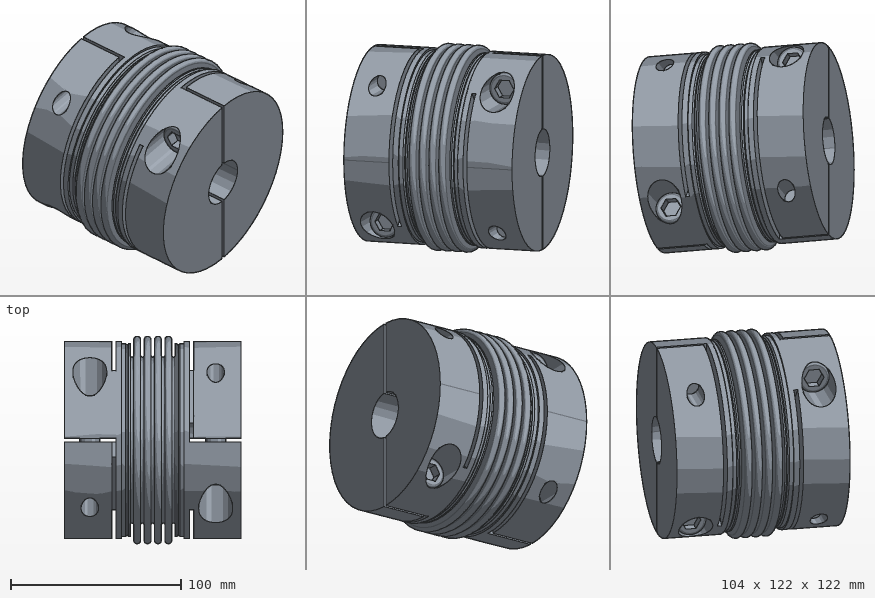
import cadquery as cq
import math


hub_end_x = 52.0
hub_inner_x = 18.3
hub_radius = 58.0
bore_radius = 14.0

collar_radius = 56.7
weld_groove_x = 15.0
weld_groove_depth = 0.9

crest_count = 4
crest_pitch = 6.1
crest_radius = 61.0
root_radius = 48.8
crest_round = 2.1
root_round = crest_pitch / 2 - crest_round
bellows_end_x = crest_count * crest_pitch / 2 + root_round

split_width = 2.0
relief_inner_x = 21.7
relief_width = 2.3
relief_outer_x = relief_inner_x + relief_width
relief_sweep = 135

screw_x = 37.0
screw_z = 41.8
counterbore_diameter = 20.0
head_diameter = 18.5
head_rounding = 1.2
head_top_y = 26.4
head_height = 12.0
head_seat_y = head_top_y - head_height
socket_across_flats = 10.4
socket_depth = 6.1
shank_diameter = 12.0
thread_hole_diameter = 10.2
shank_end_y = 24.4


def make_body():
    """Revolved outline of both hubs, collars and bellows."""
    groove_bottom = collar_radius - weld_groove_depth
    crest_shoulder = crest_radius - crest_round
    root_shoulder = root_radius + root_round
    outline = (
        cq.Workplane("XY")
        .moveTo(-hub_end_x, 0)
        .lineTo(-hub_end_x, hub_radius)
        .lineTo(-hub_inner_x, hub_radius)
        .lineTo(-hub_inner_x, collar_radius)
        .lineTo(-weld_groove_x - weld_groove_depth, collar_radius)
        .lineTo(-weld_groove_x, groove_bottom)
        .lineTo(-weld_groove_x + weld_groove_depth, collar_radius)
        .lineTo(-bellows_end_x, collar_radius)
        .lineTo(-bellows_end_x, root_shoulder)
    )
    for i in range(crest_count):
        crest_x = (i - (crest_count - 1) / 2) * crest_pitch
        root_x = crest_x - crest_pitch / 2
        outline = (
            outline
            .threePointArc((root_x, root_radius), (root_x + root_round, root_shoulder))
            .lineTo(crest_x - crest_round, crest_shoulder)
            .threePointArc((crest_x, crest_radius), (crest_x + crest_round, crest_shoulder))
            .lineTo(crest_x + crest_round, root_shoulder)
        )
    last_root_x = crest_count * crest_pitch / 2
    outline = (
        outline
        .threePointArc((last_root_x, root_radius), (bellows_end_x, root_shoulder))
        .lineTo(bellows_end_x, collar_radius)
        .lineTo(weld_groove_x - weld_groove_depth, collar_radius)
        .lineTo(weld_groove_x, groove_bottom)
        .lineTo(weld_groove_x + weld_groove_depth, collar_radius)
        .lineTo(hub_inner_x, collar_radius)
        .lineTo(hub_inner_x, hub_radius)
        .lineTo(hub_end_x, hub_radius)
        .lineTo(hub_end_x, 0)
        .close()
    )
    return outline.revolve(360, (0, 0, 0), (1, 0, 0))


def half_turn_about_x(shape):
    return shape.rotate((0, 0, 0), (1, 0, 0), 180)


def half_turn_about_z(shape):
    return shape.rotate((0, 0, 0), (0, 0, 1), 180)


def cylinder_along_y(diameter, start_y, end_y):
    """Cylinder on the axis of the -Y screw, between two Y positions."""
    return (
        cq.Workplane("XZ", origin=(-screw_x, start_y, -screw_z))
        .circle(diameter / 2)
        .extrude(start_y - end_y)
    )


def make_split():
    """Slit through the -X hub, from its outer face to the relief slots."""
    length = hub_end_x - relief_inner_x
    return (
        cq.Workplane("XY")
        .box(length, split_width, 2 * crest_radius, centered=(False, True, True))
        .translate((-hub_end_x, 0, 0))
    )


def make_relief_slot():
    """Sector slot freeing the -Y clamp arm, from +Z round past -Y."""
    reach = 2 * crest_radius
    end_angle = math.radians(90 + relief_sweep)
    return (
        cq.Workplane("YZ", origin=(-relief_outer_x, 0, 0))
        .polyline([
            (0, 0),
            (0, reach),
            (-reach, reach),
            (reach * math.cos(end_angle), reach * math.sin(end_angle)),
        ])
        .close()
        .extrude(relief_width)
    )


def make_screw_holes():
    """Counterbore on the -Y side and threaded hole on the +Y side."""
    counterbore = cylinder_along_y(counterbore_diameter, -hub_radius, -head_seat_y)
    thread_hole = cylinder_along_y(thread_hole_diameter, shank_end_y, hub_radius)
    return counterbore.union(thread_hole)


def make_screw():
    """Socket head screw with its head on the -Y side."""
    head = (
        cylinder_along_y(head_diameter, -head_top_y, -head_seat_y)
        .faces("<Y").edges().fillet(head_rounding)
    )
    socket = (
        cq.Workplane("XZ", origin=(-screw_x, -head_top_y, -screw_z))
        .polygon(6, socket_across_flats / math.cos(math.pi / 6))
        .extrude(-socket_depth)
    )
    shank = cylinder_along_y(shank_diameter, -head_seat_y, shank_end_y)
    return head.cut(socket).union(shank)


clamp_cuts = [make_split()]
for shape in (make_relief_slot(), make_screw_holes()):
    clamp_cuts += [shape, half_turn_about_x(shape)]
clamp_screws = [make_screw(), half_turn_about_x(make_screw())]

bore = cq.Workplane("YZ", origin=(-hub_end_x, 0, 0)).circle(bore_radius).extrude(2 * hub_end_x)
result = make_body().cut(bore)
for cut_shape in clamp_cuts:
    result = result.cut(cut_shape).cut(half_turn_about_z(cut_shape))
for screw in clamp_screws:
    result = result.union(screw).union(half_turn_about_z(screw))